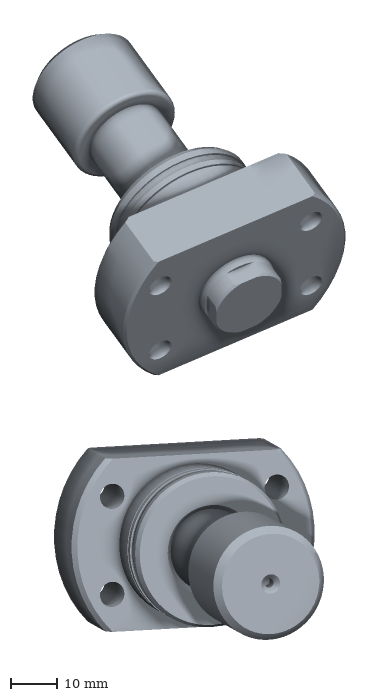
import cadquery as cq
import math

flange_diameter = 55.0
flange_height = 38.0
flange_thickness = 14.2
flange_front_chamfer = 1.0
flange_back_chamfer = 0.6

spigot_diameter = 34.0
spigot_length = 12.5
spigot_chamfer_length = 1.2
spigot_chamfer_angle = 30.0
seal_groove_start = 2.8
seal_groove_width = 2.0
ring_groove_start = 6.2
ring_groove_width = 0.5
groove_depth = 0.5

bolt_circle_diameter = 43.0
bolt_hole_diameter = 5.5
bolt_hole_angle = 30.0

rod_diameter = 18.0
rod_length = 75.0
rod_projection = 6.0
head_diameter = 25.0
head_length = 20.4
head_front_chamfer = 1.5
head_back_fillet = 1.0
bore_chamfer = 1.0

wrench_length = 4.0
wrench_diameter = 17.5
wrench_across_flats = 16.1
wrench_end_chamfer = 0.5
taper_length = 1.2

centre_drill_diameter = 2.0
centre_sink_diameter = 4.25
centre_sink_angle = 90.0
centre_drill_depth = 4.0
drill_point_angle = 118.0

spigot_face = -spigot_length
flange_back = flange_thickness
rod_end = flange_back + rod_projection
head_face = rod_end - rod_length
head_back = head_face + head_length
wrench_start = rod_end - wrench_length


def rise(run, angle):
    """Radial change over an axial run at the given angle to the axis."""
    return run * math.tan(math.radians(angle))


def revolve_profile(points):
    """Solid of revolution about X from (x, radius) points."""
    return cq.Workplane("XY").polyline(points).close().revolve(360, (0, 0, 0), (1, 0, 0))


def disc(diameter, start, length):
    """Cylinder on the X axis."""
    return cq.Workplane("YZ", origin=(start, 0, 0)).circle(diameter / 2).extrude(length)


def make_flange_plate():
    plate = disc(flange_diameter, 0, flange_thickness)
    plate = plate.faces("<X").chamfer(flange_front_chamfer)
    plate = plate.faces(">X").chamfer(flange_back_chamfer)
    slab = cq.Workplane("YZ").rect(flange_diameter, flange_height).extrude(flange_thickness)
    return plate.intersect(slab)


def make_spigot():
    radius = spigot_diameter / 2
    face_radius = radius - rise(spigot_chamfer_length, spigot_chamfer_angle)
    spigot = revolve_profile([
        (spigot_face, 0),
        (spigot_face, face_radius),
        (spigot_face + spigot_chamfer_length, radius),
        (0, radius),
        (0, 0),
    ])
    grooves = [(seal_groove_start, seal_groove_width), (ring_groove_start, ring_groove_width)]
    for start, width in grooves:
        ring = disc(spigot_diameter, spigot_face + start, width)
        core = disc(spigot_diameter - 2 * groove_depth, spigot_face + start, width)
        spigot = spigot.cut(ring.cut(core))
    return spigot


def make_flange():
    bolt_radius = bolt_circle_diameter / 2
    bolt_y = bolt_radius * math.cos(math.radians(bolt_hole_angle))
    bolt_z = bolt_radius * math.sin(math.radians(bolt_hole_angle))
    bolt_holes = (
        cq.Workplane("YZ")
        .rect(2 * bolt_y, 2 * bolt_z, forConstruction=True)
        .vertices()
        .circle(bolt_hole_diameter / 2)
        .extrude(flange_thickness)
    )
    bore = disc(rod_diameter, spigot_face, spigot_length + flange_thickness)
    mouth = revolve_profile([
        (spigot_face, 0),
        (spigot_face, rod_diameter / 2 + bore_chamfer),
        (spigot_face + bore_chamfer, rod_diameter / 2),
        (spigot_face + bore_chamfer, 0),
    ])
    return make_flange_plate().union(make_spigot()).cut(bolt_holes).cut(bore).cut(mouth)


def make_centre_hole():
    drill_radius = centre_drill_diameter / 2
    sink_radius = centre_sink_diameter / 2
    sink_depth = (sink_radius - drill_radius) / math.tan(math.radians(centre_sink_angle / 2))
    point_depth = drill_radius / math.tan(math.radians(drill_point_angle / 2))
    drill_end = head_face + centre_drill_depth
    return revolve_profile([
        (head_face, 0),
        (head_face, sink_radius),
        (head_face + sink_depth, drill_radius),
        (drill_end, drill_radius),
        (drill_end + point_depth, 0),
    ])


def make_wrench_end():
    """Round end with four flats."""
    end = disc(wrench_diameter, wrench_start, wrench_length)
    end = end.faces(">X").chamfer(wrench_end_chamfer)
    square = cq.Workplane("YZ", origin=(wrench_start, 0, 0))
    square = square.rect(wrench_across_flats, wrench_across_flats).extrude(wrench_length)
    return end.intersect(square)


def make_rod():
    head = disc(head_diameter, head_face, head_length)
    head = head.faces("<X").chamfer(head_front_chamfer)
    head = head.faces(">X").edges().fillet(head_back_fillet)
    shank = revolve_profile([
        (head_back, 0),
        (head_back, rod_diameter / 2),
        (wrench_start - taper_length, rod_diameter / 2),
        (wrench_start, wrench_diameter / 2),
        (wrench_start, 0),
    ])
    return head.union(shank).union(make_wrench_end()).cut(make_centre_hole())


flange = make_flange()
rod = make_rod()

result = cq.Compound.makeCompound([flange.val(), rod.val()])